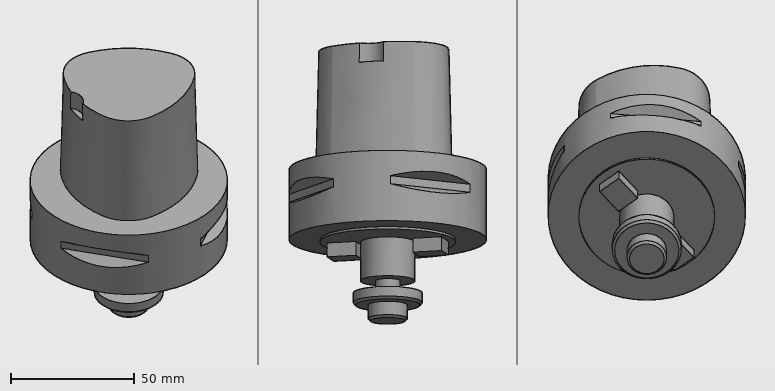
import cadquery as cq
import math

taper_height = 48.0
flange_height = 29.0
pilot_height = 1.0
arbor_height = 16.0
neck_height = 5.0
collar_height = 5.0
tip_height = 6.5

flange_dia = 80.0
pilot_dia = 55.0
arbor_dia = 22.0
neck_dia = 10.0
collar_dia = 28.0
tip_dia = 16.0
end_chamfer = 1.0

mean_dia = 55.1
lobe_rise = 2.0
lobe_radius = 17.0
lobe_count = 3
first_lobe_angle = 90.0
taper_ratio = 1 / 20
taper_angle = math.degrees(math.atan(taper_ratio / 2))

notch_radius = 7.0
notch_apex = 22.0
notch_depth = 8.0

groove_count = 4
first_groove_angle = 45.0
groove_floor_distance = 35.5
groove_floor_width = 3.3
groove_depth_below_top = 12.1
groove_flank_angle = 30.0
groove_overcut = 1.0

key_inner = 12.0
key_outer = 24.1
key_width = 10.0
key_height = 5.7

flange_bottom = -flange_height
pilot_bottom = flange_bottom - pilot_height


def polar(radius, angle):
    """Point at a radius and an angle in degrees about the part axis."""
    return (radius * math.cos(math.radians(angle)), radius * math.sin(math.radians(angle)))


def cylinder_down(top_z, diameter, height):
    """Cylinder on the part axis that hangs below top_z."""
    return cq.Workplane("XY", origin=(0, 0, top_z)).circle(diameter / 2).extrude(-height)


def make_shank():
    """Tapered shank with a rounded triangular section of tangent arcs."""
    lobe_tip = mean_dia / 2 + lobe_rise
    flank_middle = mean_dia / 2 - lobe_rise
    lobe_centre = lobe_tip - lobe_radius

    reach = flank_middle - lobe_radius
    flank_centre = (lobe_centre**2 - reach**2) / (2 * reach - lobe_centre)
    pitch = 360 / lobe_count
    half_pitch = math.radians(pitch / 2)
    half_lobe = math.degrees(
        math.atan2(
            flank_centre * math.sin(half_pitch),
            lobe_centre + flank_centre * math.cos(half_pitch),
        )
    )

    def lobe_end(lobe_angle, side):
        """Tangent point where a lobe arc meets the flank arc on one side of it."""
        centre_x, centre_y = polar(lobe_centre, lobe_angle)
        offset_x, offset_y = polar(lobe_radius, lobe_angle + side * half_lobe)
        return (centre_x + offset_x, centre_y + offset_y)

    outline = cq.Workplane("XY").moveTo(*lobe_end(first_lobe_angle, -1))
    for index in range(lobe_count):
        angle = first_lobe_angle + index * pitch
        outline = outline.threePointArc(polar(lobe_tip, angle), lobe_end(angle, 1))
        outline = outline.threePointArc(
            polar(flank_middle, angle + pitch / 2), lobe_end(angle + pitch, -1)
        )
    return outline.close().extrude(taper_height, taper=taper_angle)


def make_notch():
    """Cylinder that cuts the round notch into the shank."""
    notch_centre = notch_apex + notch_radius
    top = cq.Workplane("XY", origin=(0, -notch_centre, taper_height))
    return top.circle(notch_radius).extrude(-notch_depth)


def make_groove(angle):
    """Straight V groove with a flat floor, cut across the flange at an angle."""
    mouth_distance = flange_dia / 2 + groove_overcut
    flank_run = (mouth_distance - groove_floor_distance) * math.tan(math.radians(groove_flank_angle))
    floor_half = groove_floor_width / 2
    mouth_half = floor_half + flank_run
    profile = [
        (groove_floor_distance, -floor_half),
        (mouth_distance, -mouth_half),
        (mouth_distance, mouth_half),
        (groove_floor_distance, floor_half),
    ]
    groove = cq.Workplane("XZ").polyline(profile).close().extrude(flange_dia / 2, both=True)
    return groove.translate((0, 0, -groove_depth_below_top)).rotate((0, 0, 0), (0, 0, 1), angle)


def make_key(side):
    """Rectangular drive key under the pilot, on the +X or -X side."""
    key_middle = (key_inner + key_outer) / 2
    base = cq.Workplane("XY", origin=(side * key_middle, 0, pilot_bottom))
    return base.rect(key_outer - key_inner, key_width).extrude(-key_height)


def make_arbor():
    """Arbor stub, neck, chamfered collar and chamfered tip below the pilot."""
    neck_top = pilot_bottom - arbor_height
    collar_top = neck_top - neck_height
    tip_top = collar_top - collar_height
    arbor = cylinder_down(pilot_bottom, arbor_dia, arbor_height)
    neck = cylinder_down(neck_top, neck_dia, neck_height)
    collar = cylinder_down(collar_top, collar_dia, collar_height).faces("<Z").chamfer(end_chamfer)
    tip = cylinder_down(tip_top, tip_dia, tip_height).faces("<Z").chamfer(end_chamfer)
    return arbor.union(neck).union(collar).union(tip)


flange = cylinder_down(0, flange_dia, flange_height)
for groove_index in range(groove_count):
    groove_angle = first_groove_angle + groove_index * 360 / groove_count
    flange = flange.cut(make_groove(groove_angle))

result = flange.union(make_shank().cut(make_notch()))
result = result.union(cylinder_down(flange_bottom, pilot_dia, pilot_height))
result = result.union(make_arbor())
for key_side in (-1, 1):
    result = result.union(make_key(key_side))